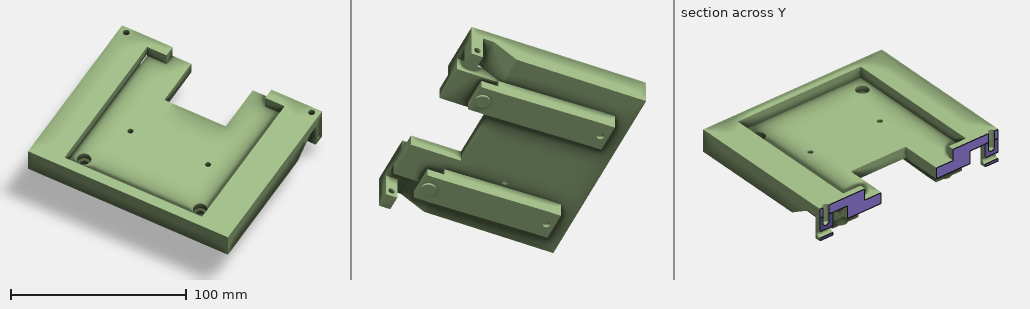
import cadquery as cq
import math

TRAY_WIDTH = 130.81
TRAY_LENGTH = 108.58
TRAY_HEIGHT = 15.24

POCKET_WIDTH = 90.0
POCKET_DEPTH = 7.62
FRONT_RIM = 6.15

TAB_GAP = 64.5
TAB_LENGTH = 7.14
RAIL_THICKNESS = 6.6

RELIEF_FLAT_END = TRAY_LENGTH - 13.8
RELIEF_SLOPE_END = TRAY_LENGTH - 28.1

CABLE_NOTCH_WIDTH = 40.2
CABLE_NOTCH_LENGTH = 31.1

PLATE_HOLE_DIAMETER = 3.5
PLATE_HOLE_SPACING = 50.8
PLATE_HOLE_Y = 47.6

LEG_WIDTH = 9.9
LEG_BOTTOM = -22.0
LEG_SCREW_DIAMETER = 4.0
CROSS_HOLE_DIAMETER = 4.0
LEG_SCREW_INSET = 4.76
LEG_SCREW_DEPTH = 12.0
DRILL_POINT_ANGLE = 118.0
LEG_HOLE_Y = TRAY_LENGTH - TAB_LENGTH / 2
CROSS_HOLE_Z = -17.9

ARM_SPACING = 75.9
SCREW_Y = 16.3
SCREW_HOLE_DIAMETER = 4.5
SCREW_HEAD_DIAMETER = 8.25
SCREW_HEAD_DEPTH = 4.0

ARM_WIDTH = 19.05
ARM_FRONT_Y = 11.6
ARM_LENGTH = 83.1
ARM_THICKNESS = 9.525
ARM_DROP = 1.785
SEAT_LENGTH = 2 * (SCREW_Y - ARM_FRONT_Y)
TONGUE_LENGTH = 10.8
TONGUE_THICKNESS = 5.08

PAD_DIAMETER = 9.0
PAD_REAR_GAP = 0.4
PAD_THICKNESS = 1.27

SIDES = (-1, 1)
REAR_STRIP = (TRAY_LENGTH - TAB_LENGTH, TRAY_LENGTH)


def block(x_range, y_range, z_range):
    """Box between the given limits on each axis."""
    sizes = [high - low for low, high in (x_range, y_range, z_range)]
    return cq.Workplane("XY").box(*sizes, centered=False).translate((x_range[0], y_range[0], z_range[0]))


def side_block(side, x_inner, x_outer, y_range, z_range):
    """Box on the left (-1) or right (1) half of the tray."""
    return block(sorted((side * x_inner, side * x_outer)), y_range, z_range)


def vertical_cylinder(diameter, x, y, top, bottom):
    """Upright cylinder between two heights."""
    return cq.Workplane("XY", origin=(x, y, bottom)).circle(diameter / 2).extrude(top - bottom)


def leg_screw_hole(side):
    """Screw hole through the rail into a leg, ending in a drill point."""
    hole_x = side * (TRAY_WIDTH / 2 - LEG_SCREW_INSET)
    radius = LEG_SCREW_DIAMETER / 2
    point_height = radius / math.tan(math.radians(DRILL_POINT_ANGLE / 2))
    return (
        cq.Workplane("XZ", origin=(hole_x, LEG_HOLE_Y, 0))
        .lineTo(radius, 0)
        .lineTo(radius, -LEG_SCREW_DEPTH)
        .lineTo(0, -LEG_SCREW_DEPTH - point_height)
        .close()
        .revolve(360, (0, 0), (0, 1))
    )


def rear_relief(side):
    """Space under the rear of a rail, with a sloped front end."""
    return (
        cq.Workplane("YZ", origin=(side * POCKET_WIDTH / 2, 0, 0))
        .moveTo(TRAY_LENGTH, -RAIL_THICKNESS)
        .lineTo(RELIEF_FLAT_END, -RAIL_THICKNESS)
        .lineTo(RELIEF_SLOPE_END, -TRAY_HEIGHT)
        .lineTo(TRAY_LENGTH, -TRAY_HEIGHT)
        .close()
        .extrude(side * (TRAY_WIDTH - POCKET_WIDTH) / 2)
    )


def make_tray():
    """Open pocketed tray with a rear notch, two rear tabs and relieved rail ends."""
    half_width = TRAY_WIDTH / 2
    half_pocket = POCKET_WIDTH / 2

    tray = block((-half_width, half_width), (0, TRAY_LENGTH), (-TRAY_HEIGHT, 0))
    tray = tray.cut(block((-half_pocket, half_pocket), (FRONT_RIM, TRAY_LENGTH), (-POCKET_DEPTH, 0)))

    half_notch = CABLE_NOTCH_WIDTH / 2
    notch_y = (TRAY_LENGTH - CABLE_NOTCH_LENGTH, TRAY_LENGTH)
    tray = tray.cut(block((-half_notch, half_notch), notch_y, (-TRAY_HEIGHT, 0)))

    for side in SIDES:
        tray = tray.cut(rear_relief(side))
        tab = side_block(side, TAB_GAP / 2, half_pocket, REAR_STRIP, (-POCKET_DEPTH, 0))
        tray = tray.union(tab).cut(leg_screw_hole(side))

        plate_hole_x = side * PLATE_HOLE_SPACING / 2
        tray = tray.cut(
            vertical_cylinder(PLATE_HOLE_DIAMETER, plate_hole_x, PLATE_HOLE_Y, -POCKET_DEPTH, -TRAY_HEIGHT)
        )

        screw_x = side * ARM_SPACING / 2
        head_floor = -POCKET_DEPTH - SCREW_HEAD_DEPTH
        tray = tray.cut(vertical_cylinder(SCREW_HEAD_DIAMETER, screw_x, SCREW_Y, -POCKET_DEPTH, head_floor))
        tray = tray.cut(vertical_cylinder(SCREW_HOLE_DIAMETER, screw_x, SCREW_Y, head_floor, -TRAY_HEIGHT))
    return tray


def make_leg(side):
    """Hinge leg with a cross hole along X and a blind screw hole from the rail above."""
    half_width = TRAY_WIDTH / 2
    leg = side_block(side, half_width - LEG_WIDTH, half_width, REAR_STRIP, (LEG_BOTTOM, -RAIL_THICKNESS))
    cross_hole = (
        cq.Workplane("YZ", origin=(side * half_width, LEG_HOLE_Y, CROSS_HOLE_Z))
        .circle(CROSS_HOLE_DIAMETER / 2)
        .extrude(-side * LEG_WIDTH)
    )
    return leg.cut(cross_hole).cut(leg_screw_hole(side))


def make_arm(side):
    """Bar with a level seat in front, a gentle downward slope and a level tongue with a foot pad."""
    arm_x = side * ARM_SPACING / 2
    seat_end_y = ARM_FRONT_Y + SEAT_LENGTH
    rear_y = ARM_FRONT_Y + ARM_LENGTH
    shoulder_y = rear_y - TONGUE_LENGTH
    front_top = -TRAY_HEIGHT
    rear_top = front_top - ARM_DROP
    front_bottom = front_top - ARM_THICKNESS
    rear_bottom = rear_top - ARM_THICKNESS

    arm = (
        cq.Workplane("YZ", origin=(arm_x, 0, 0))
        .moveTo(ARM_FRONT_Y, front_top)
        .lineTo(seat_end_y, front_top)
        .lineTo(shoulder_y, rear_top)
        .lineTo(shoulder_y, rear_bottom + TONGUE_THICKNESS)
        .lineTo(rear_y, rear_bottom + TONGUE_THICKNESS)
        .lineTo(rear_y, rear_bottom)
        .lineTo(shoulder_y, rear_bottom)
        .lineTo(seat_end_y, front_bottom)
        .lineTo(ARM_FRONT_Y, front_bottom)
        .close()
        .extrude(ARM_WIDTH / 2, both=True)
    )
    pad_y = rear_y - PAD_REAR_GAP - PAD_DIAMETER / 2
    pad = vertical_cylinder(PAD_DIAMETER, arm_x, pad_y, rear_bottom, rear_bottom - PAD_THICKNESS)
    screw_hole = vertical_cylinder(SCREW_HOLE_DIAMETER, arm_x, SCREW_Y, front_top, front_bottom)
    return arm.union(pad).cut(screw_hole)


tray = make_tray()
legs = [make_leg(side) for side in SIDES]
arms = [make_arm(side) for side in SIDES]

result = cq.Compound.makeCompound(
    [tray.val()] + [leg.val() for leg in legs] + [arm.val() for arm in arms]
)